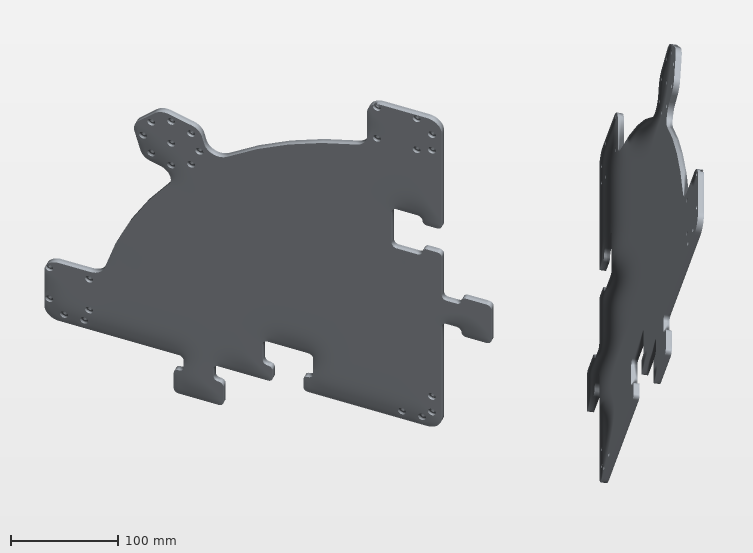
import cadquery as cq
import math


diagonal_angle = 135

overall_size = 450.0
thickness = 6.0
connector_length = 50.0
body_size = overall_size - connector_length
arc_radius = 350.0
pad_width = 75.0
corner_radius = 15.0

head_apothem = 35.0
head_sides = 6
head_side_run = 1.5
head_distance = arc_radius + head_apothem
head_hole_circle_radius = 28.5
head_hole_count = 8

connector_radius = 5.0
neck_width = 30.0
neck_length = 20.0
socket_clearance = 0.5
near_distance = 155.0
far_distance = 245.0

hole_diameter = 4.5
counterbore_diameter = 8.0
counterbore_depth = thickness / 2
pad_hole_pitch = 40.0
pad_hole_end_inset = 5.0
pad_hole_side_inset = 25.0
edge_hole_inset = 10.0
edge_hole_first = 20.0
edge_hole_second = 40.0


def mirrored(point):
    """Mirror a point (x, z) about the diagonal of the plate."""
    x, z = point
    return (-z, -x)


def polar(radius, angle, center=(0.0, 0.0)):
    """Point (x, z) at an angle in degrees, counted from +X toward +Z."""
    turn = math.radians(angle)
    return (center[0] + radius * math.cos(turn), center[1] + radius * math.sin(turn))


def extrude_plate(outline):
    """Extrude a closed XZ outline from the front face back through the plate."""
    return outline.close().extrude(-thickness)


def edges_across(plate, points):
    """Select the edges that cross the thickness nearest to the given (x, z) points."""
    edges = plate.newObject([])
    for x, z in points:
        edges = edges.add(plate.edges(cq.NearestToPointSelector((x, thickness / 2, z))))
    return edges


head_center = polar(head_distance, diagonal_angle)


def make_body():
    """Quarter disc with a square pad at either end of its arc."""
    arc_end = (-math.sqrt(arc_radius**2 - pad_width**2), pad_width)
    outline = (
        cq.Workplane("XZ")
        .moveTo(0, 0)
        .lineTo(0, body_size)
        .lineTo(-pad_width, body_size)
        .lineTo(*mirrored(arc_end))
        .threePointArc(polar(arc_radius, diagonal_angle), arc_end)
        .lineTo(-body_size, pad_width)
        .lineTo(-body_size, 0)
    )
    body = extrude_plate(outline)
    inner_corners = edges_across(body, [arc_end, mirrored(arc_end)])
    body = inner_corners.fillet(corner_radius)
    outer_corners = [
        (0, 0),
        (0, body_size),
        (-pad_width, body_size),
        (-body_size, pad_width),
        (-body_size, 0),
    ]
    return edges_across(body, outer_corners).fillet(corner_radius)


def add_head(body):
    """Join the rounded hexagonal head to the arc and fillet both junctions."""
    half_turn = 180 / head_sides
    corner_distance = head_apothem / math.cos(math.radians(half_turn))
    side_length = 2 * head_apothem * math.tan(math.radians(half_turn))
    corners = [
        polar(corner_distance, diagonal_angle + half_turn * step, head_center)
        for step in (-5, -3, -1, 1, 3, 5)
    ]
    outer_corners = corners[1:-1]
    right_root = polar(head_side_run * side_length, diagonal_angle - 7 * half_turn, outer_corners[0])
    left_root = mirrored(right_root)
    head = extrude_plate(cq.Workplane("XZ").polyline([right_root, *outer_corners, left_root]))
    head = edges_across(head, outer_corners).fillet(corner_radius)
    plate = body.union(head)
    junctions = [corners[0], corners[-1]]
    return edges_across(plate, junctions).fillet(corner_radius)


def make_connector(clearance, direction, position):
    """T-shaped connector rooted at an (x, z) position.

    It points along +X before being turned about Y by `direction` degrees.
    A positive clearance grows every side, keeping the corner arc centers.
    """
    convex = connector_radius + clearance
    concave = connector_radius - clearance
    arc_height = neck_width / 2 + connector_radius
    tip = connector_length + clearance
    root_arc = (concave, arc_height)
    shoulder_arc = (neck_length - connector_radius, arc_height)
    inner_head_arc = (neck_length + connector_radius, arc_height)
    outer_head_arc = (tip - convex, arc_height)
    upper_half = extrude_plate(
        cq.Workplane("XZ")
        .lineTo(0, arc_height)
        .threePointArc(polar(concave, 225, root_arc), polar(concave, 270, root_arc))
        .lineTo(*polar(concave, 270, shoulder_arc))
        .threePointArc(polar(concave, 315, shoulder_arc), polar(concave, 0, shoulder_arc))
        .threePointArc(polar(convex, 135, inner_head_arc), polar(convex, 90, inner_head_arc))
        .lineTo(*polar(convex, 90, outer_head_arc))
        .threePointArc(polar(convex, 45, outer_head_arc), polar(convex, 0, outer_head_arc))
        .lineTo(tip, 0)
    )
    connector = upper_half.union(upper_half.mirror("XY"))
    x, z = position
    return connector.rotate((0, 0, 0), (0, 1, 0), direction).translate((x, 0, z))


def add_connectors(plate):
    """Give the right and bottom sides one tab and one matching socket each."""
    pointing_right, pointing_down, pointing_left, pointing_up = 0, 90, 180, 270
    plate = plate.union(make_connector(0, pointing_right, (0, near_distance)))
    plate = plate.union(make_connector(0, pointing_down, (-far_distance, 0)))
    plate = plate.cut(make_connector(socket_clearance, pointing_left, (0, far_distance)))
    return plate.cut(make_connector(socket_clearance, pointing_up, (-near_distance, 0)))


def hole_positions():
    """Centers (x, z) of every screw hole."""
    head_holes = [head_center]
    for index in range(head_hole_count):
        head_holes.append(polar(head_hole_circle_radius, index * 360 / head_hole_count, head_center))

    lower_holes = []
    for along in (0, pad_hole_pitch):
        for across in (0, pad_hole_pitch):
            x = -body_size + pad_hole_end_inset + along
            lower_holes.append((x, pad_hole_side_inset + across))
    for along in (edge_hole_first, edge_hole_second):
        lower_holes.append((-body_size + along, edge_hole_inset))
        lower_holes.append((-along, edge_hole_inset))
    return head_holes + lower_holes + [mirrored(hole) for hole in lower_holes]


def drill_holes(plate):
    """Drill the through holes, counterbored from the front face."""
    front = cq.Workplane("XZ").pushPoints(hole_positions())
    through_holes = front.circle(hole_diameter / 2).extrude(-thickness)
    counterbores = front.circle(counterbore_diameter / 2).extrude(-counterbore_depth)
    return plate.cut(through_holes).cut(counterbores)


result = drill_holes(add_connectors(add_head(make_body())))